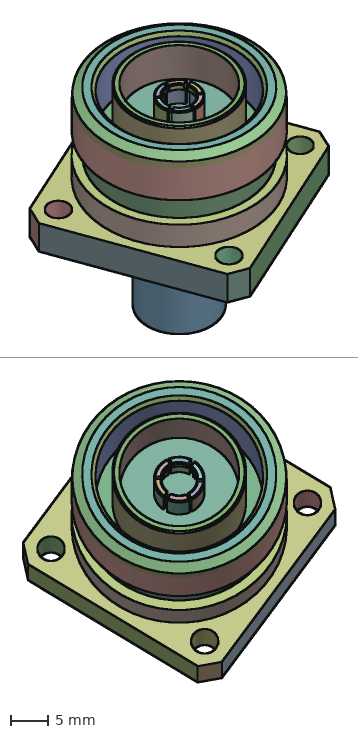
import cadquery as cq

flange_side = 32.0
flange_bottom = 17.25
flange_top = 22.25
corner_chamfer = 2.32
hole_diameter = 3.65
hole_offset = 12.4

stem_radius = 6.27
neck_radius = 5.95
shoulder_radius = 6.15
groove_radius = 6.1
stem_top = 15.2
groove_top = 14.75
groove_bottom = 14.47
shoulder_bottom = 17.0

collar_radius = 14.45
waist_radius = 13.0
lead_radius = 14.3
waist_bottom = 26.15
waist_top = 29.72
collar_bottom = 30.45
lead_bottom = 36.03
lead_top = 37.2
collar_top = 38.1

cavity_radius = 11.22
cavity_mouth_radius = 11.75
cavity_floor = 30.0
cavity_chamfer = cavity_mouth_radius - cavity_radius

sleeve_radius = 8.98
sleeve_bore_radius = 8.0
sleeve_top = 38.7
sleeve_floor = 32.78
sleeve_chamfer = 0.25

contact_radius = 3.4
contact_lip_radius = 2.35
contact_bore_radius = 2.9
contact_top = 36.65
contact_lip_depth = 0.95
contact_chamfer = 0.175
wide_slot = 0.58
narrow_slot = 0.35
narrow_slot_angles = (30, -30)


def revolve_profile(points):
    """Turn a closed (radius, height) outline about the Z axis."""
    return cq.Workplane("XZ").polyline(points).close().revolve(360, (0, 0, 0), (0, 1, 0))


def make_flange():
    """Square plate with cut corners and a through hole near each corner."""
    return (
        cq.Workplane("XY", origin=(0, 0, flange_bottom))
        .rect(flange_side, flange_side)
        .extrude(flange_top - flange_bottom)
        .edges("|Z")
        .chamfer(corner_chamfer)
        .faces(">Z")
        .workplane()
        .rect(2 * hole_offset, 2 * hole_offset, forConstruction=True)
        .vertices()
        .hole(hole_diameter)
    )


def make_stem():
    """Solid stem with a tapered groove below its end band and a neck under the flange."""
    return revolve_profile([
        (0, 0),
        (stem_radius, 0),
        (stem_radius, groove_bottom),
        (groove_radius, groove_bottom),
        (stem_radius, groove_top),
        (stem_radius, stem_top),
        (neck_radius, stem_top),
        (neck_radius, shoulder_bottom),
        (shoulder_radius, flange_bottom),
        (0, flange_bottom),
    ])


def make_body():
    """Collar, waist and base ring, with the sleeve standing in the collar cavity."""
    return revolve_profile([
        (0, flange_top),
        (collar_radius, flange_top),
        (collar_radius, waist_bottom),
        (waist_radius, waist_bottom),
        (waist_radius, waist_top),
        (collar_radius, collar_bottom),
        (collar_radius, lead_bottom),
        (lead_radius, lead_top),
        (waist_radius, collar_top),
        (cavity_mouth_radius, collar_top),
        (cavity_radius, collar_top - cavity_chamfer),
        (cavity_radius, cavity_floor),
        (sleeve_radius, cavity_floor),
        (sleeve_radius, sleeve_top - sleeve_chamfer),
        (sleeve_radius - sleeve_chamfer, sleeve_top),
        (sleeve_bore_radius, sleeve_top),
        (sleeve_bore_radius, sleeve_floor),
        (0, sleeve_floor),
    ])


def make_contact():
    """Hollow contact with an inner lip at its mouth, slotted into six fingers."""
    contact = revolve_profile([
        (contact_bore_radius, sleeve_floor),
        (contact_radius, sleeve_floor),
        (contact_radius, contact_top - contact_chamfer),
        (contact_radius - contact_chamfer, contact_top),
        (contact_lip_radius + contact_chamfer, contact_top),
        (contact_lip_radius, contact_top - contact_chamfer),
        (contact_lip_radius, contact_top - contact_lip_depth),
        (contact_bore_radius, contact_top - contact_lip_depth),
    ])
    height = contact_top - sleeve_floor
    slot_length = 2 * contact_radius + wide_slot
    slot_plane = cq.Workplane("XY", origin=(0, 0, sleeve_floor))
    upright_slot = slot_plane.rect(wide_slot, slot_length).extrude(height)
    contact = contact.cut(upright_slot)
    for angle in narrow_slot_angles:
        slot = slot_plane.rect(slot_length, narrow_slot).extrude(height)
        contact = contact.cut(slot.rotate((0, 0, 0), (0, 0, 1), angle))
    return contact


result = make_flange().union(make_stem()).union(make_body()).union(make_contact())